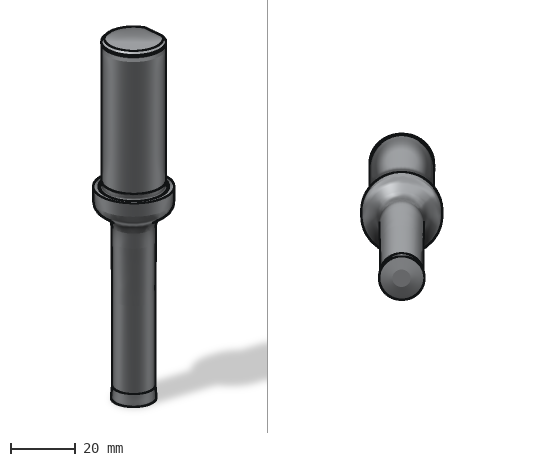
import cadquery as cq

total_height = 122.0

shank_radius = 20.0 / 2
relief_radius = 19.5 / 2
break_radius = (shank_radius + relief_radius) / 2
end_chamfer = 1.0
end_land_bottom_z = 120.7
end_land_bevel_z = 120.3
end_relief_bottom_z = 119.7
end_relief_cone_z = 118.6
shank_bottom_z = 74.0
lower_break_z = 73.7
lower_relief_cone_z = 73.2

flat_offset = 8.0
flat_end_z = 78.1
flat_runout = shank_radius - flat_offset

flange_radius = 25.0 / 2
flange_top_z = 72.0
flange_bottom_z = 67.3
blend_bottom_z = 59.0
seat_radius = 21.7 / 2
seat_depth = 0.2
seat_fillet = 0.6
seat_bottom_z = flange_top_z - seat_depth

neck_radius = 13.8 / 2
stem_radius = 13.4 / 2
taper_top_z = 53.9
taper_bottom_z = 34.4

tip_top_z = 4.8
tip_edge_z = 1.0
tip_radius = 14.0 / 2
end_face_radius = 2.8
end_cone_height = 0.5


def make_shank():
    """Shank, flange, neck and stem turned in one profile, with the flat cut."""
    body = (
        cq.Workplane("XZ")
        .moveTo(0, tip_top_z)
        .lineTo(stem_radius, tip_top_z)
        .lineTo(stem_radius, taper_bottom_z)
        .lineTo(neck_radius, taper_top_z)
        .lineTo(neck_radius, blend_bottom_z)
        .spline([(flange_radius, flange_bottom_z)], tangents=[(0, 1), (0, 1)], includeCurrent=True)
        .lineTo(flange_radius, flange_top_z)
        .lineTo(seat_radius, flange_top_z)
        .lineTo(relief_radius + seat_fillet, seat_bottom_z)
        .radiusArc((relief_radius, seat_bottom_z + seat_fillet), seat_fillet)
        .lineTo(relief_radius, lower_relief_cone_z)
        .lineTo(break_radius, lower_break_z)
        .lineTo(shank_radius, shank_bottom_z)
        .lineTo(shank_radius, end_relief_cone_z)
        .lineTo(relief_radius, end_relief_bottom_z)
        .lineTo(relief_radius, end_land_bevel_z)
        .lineTo(break_radius, end_land_bottom_z)
        .lineTo(shank_radius, end_land_bottom_z)
        .lineTo(shank_radius, total_height - end_chamfer)
        .lineTo(shank_radius - end_chamfer, total_height)
        .lineTo(0, total_height)
        .close()
        .revolve(360, (0, 0), (0, 1))
    )
    return body.cut(make_flat_cutter())


def make_flat_cutter():
    """Prism along X that leaves the flat and its sloping run-out."""
    return (
        cq.Workplane("YZ")
        .moveTo(flat_offset, total_height)
        .lineTo(flat_offset, flat_end_z)
        .lineTo(flat_offset + flat_runout, flat_end_z - flat_runout)
        .lineTo(flange_radius, flat_end_z - flat_runout)
        .lineTo(flange_radius, total_height)
        .close()
        .extrude(shank_radius, both=True)
    )


def make_tip():
    """Flared cutting tip with a shallow end cone and a flat end face, seated under the stem."""
    return (
        cq.Workplane("XZ")
        .moveTo(0, tip_top_z)
        .lineTo(0, 0)
        .lineTo(end_face_radius, 0)
        .lineTo(tip_radius, end_cone_height)
        .lineTo(tip_radius, tip_edge_z)
        .lineTo(stem_radius, tip_top_z)
        .close()
        .revolve(360, (0, 0), (0, 1))
    )


shank = make_shank()
tip = make_tip()
result = cq.Compound.makeCompound([shank.val(), tip.val()])